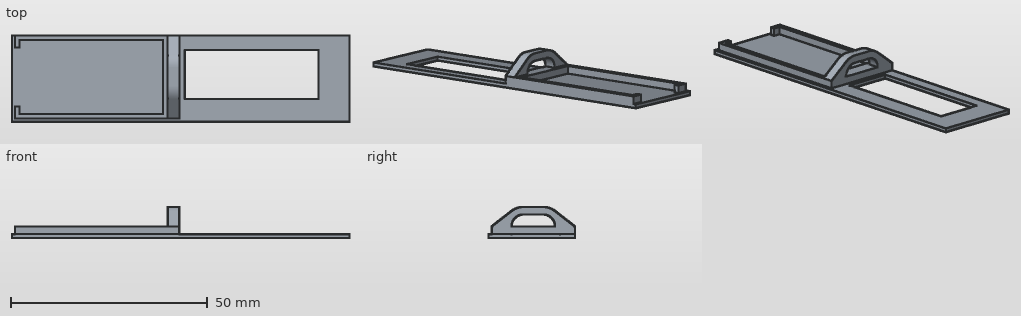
import cadquery as cq
import math

length = 86.0
width = 22.0
height = 8.0
base_thickness = 1.0

ledge = 0.8
wall = 1.2
tray_height = 3.0
tray_end = 42.65
corner_length = 3.1

handle_thickness = 3.0
handle_bar = 2.0
handle_flat = 5.0

window_start = 44.0
window_length = 34.0
window_front_margin = 5.85
window_width = 12.4

tray_length = tray_end - ledge
tray_width = width - ledge
wall_height = tray_height - base_thickness
handle_start = tray_end - handle_thickness
handle_center = ledge + tray_width / 2
outer_radius = height - tray_height
inner_radius = outer_radius - handle_bar


def block(x, y, z, size_x, size_y, size_z):
    """Box with its lowest corner at (x, y, z)."""
    return cq.Workplane("XY").box(size_x, size_y, size_z, centered=False).translate((x, y, z))


def base_plate():
    """Flat plate with a rectangular window in its +X half."""
    plate = block(0, 0, 0, length, width, base_thickness)
    window = block(window_start, window_front_margin, 0, window_length, window_width, base_thickness)
    return plate.cut(window)


def tray_walls():
    """Walls standing on the plate, flush with its +Y side and open in the middle of the -X side."""
    outer = block(ledge, ledge, base_thickness, tray_length, tray_width, wall_height)
    pocket = block(
        ledge + wall,
        ledge + wall,
        base_thickness,
        handle_start - ledge - 2 * wall,
        tray_width - 2 * wall,
        wall_height,
    )
    gap = block(
        ledge,
        ledge + corner_length,
        base_thickness,
        wall,
        tray_width - 2 * corner_length,
        wall_height,
    )
    return outer.cut(pocket).cut(gap)


def handle():
    """Arched handle whose sloped sides run tangent into its rounded shoulders."""
    half_flat = handle_flat / 2
    half_width = tray_width / 2
    tangent_angle = math.acos(outer_radius / (half_width - half_flat))

    def shoulder(angle):
        return (half_flat + outer_radius * math.cos(angle), outer_radius * math.sin(angle))

    touch_y, touch_z = shoulder(tangent_angle)
    middle_y, middle_z = shoulder((tangent_angle + math.pi / 2) / 2)

    profile_plane = cq.Workplane("YZ", origin=(handle_start, handle_center, tray_height))
    arch = (
        profile_plane.moveTo(-half_width, 0)
        .lineTo(-touch_y, touch_z)
        .threePointArc((-middle_y, middle_z), (-half_flat, outer_radius))
        .lineTo(half_flat, outer_radius)
        .threePointArc((middle_y, middle_z), (touch_y, touch_z))
        .lineTo(half_width, 0)
        .close()
        .extrude(handle_thickness)
    )
    opening = (
        profile_plane.moveTo(-half_flat - inner_radius, 0)
        .radiusArc((-half_flat, inner_radius), inner_radius)
        .lineTo(half_flat, inner_radius)
        .radiusArc((half_flat + inner_radius, 0), inner_radius)
        .close()
        .extrude(handle_thickness)
    )
    return arch.cut(opening)


result = base_plate().union(tray_walls()).union(handle())